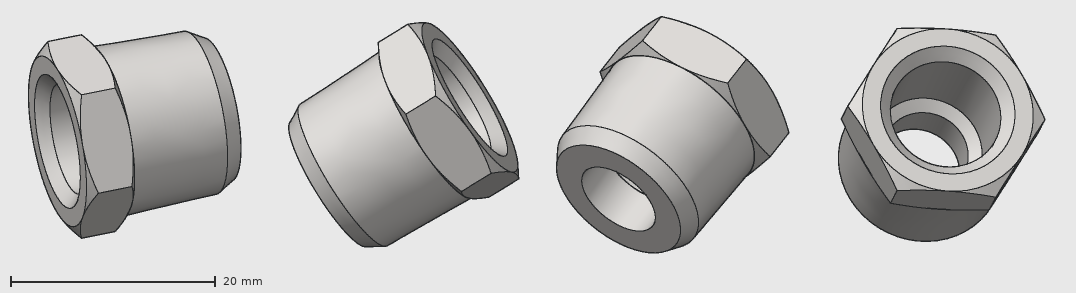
import cadquery as cq
import math

across_corners = 19.63
across_flats = across_corners * math.cos(math.radians(30))
total_length = 16.5
hex_length = 5.0

shank_base_diameter = 16.92
shank_end_diameter = 16.3
shank_tip_diameter = 14.33
tip_chamfer_length = 1.75

mouth_diameter = 13.37
bore_diameter = 11.0
outlet_diameter = 8.5
mouth_depth = 1.18
bore_depth = 11.19
cone_half_angle = 60.0
corner_chamfer_angle = 30.0


def revolve_about_axis(profile):
    """Turn a closed (radius, length) profile about the Y axis."""
    return cq.Workplane("XY").polyline(profile).close().revolve(360, (0, 0, 0), (0, 1, 0))


def make_hex_head():
    """Hexagon with its corners chamfered conically at both ends."""
    prism = (
        cq.Workplane("XZ")
        .polygon(6, across_corners)
        .extrude(-hex_length)
    )
    face_radius = across_flats / 2
    corner_radius = across_corners / 2
    drop = (corner_radius - face_radius) * math.tan(math.radians(corner_chamfer_angle))
    envelope = revolve_about_axis([
        (0, 0),
        (face_radius, 0),
        (corner_radius, drop),
        (corner_radius, hex_length - drop),
        (face_radius, hex_length),
        (0, hex_length),
    ])
    return prism.intersect(envelope)


def make_shank():
    return revolve_about_axis([
        (0, hex_length),
        (shank_base_diameter / 2, hex_length),
        (shank_end_diameter / 2, total_length - tip_chamfer_length),
        (shank_tip_diameter / 2, total_length),
        (0, total_length),
    ])


def make_bore():
    """Conical mouth, wide bore, conical step and narrow outlet."""
    step_length = (bore_diameter - outlet_diameter) / 2 / math.tan(math.radians(cone_half_angle))
    return revolve_about_axis([
        (0, 0),
        (mouth_diameter / 2, 0),
        (bore_diameter / 2, mouth_depth),
        (bore_diameter / 2, bore_depth),
        (outlet_diameter / 2, bore_depth + step_length),
        (outlet_diameter / 2, total_length),
        (0, total_length),
    ])


result = make_hex_head().union(make_shank()).cut(make_bore())